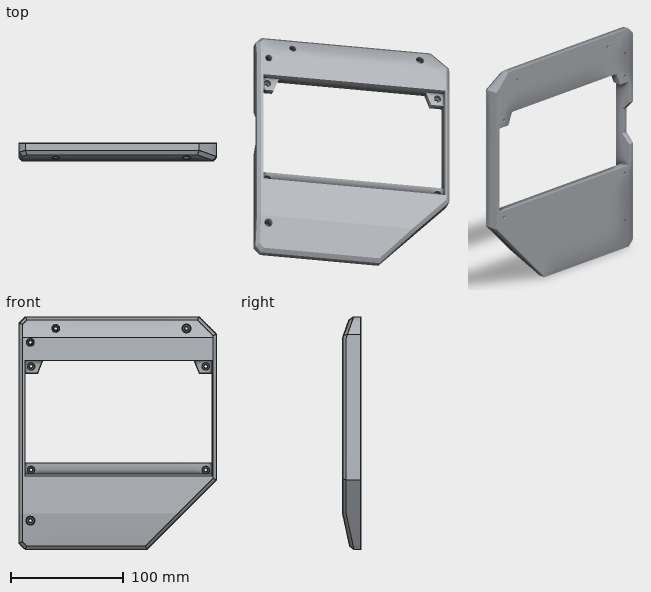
import cadquery as cq
import math

width = 175.0
depth = 16.0
height = 206.0

small_corner = 5.5
top_right_corner = 15.5
bottom_right_corner = 61.6

upper_fold_z = 187.7
lower_fold_z = 31.7
upper_lean = math.radians(19.6)
lower_lean = math.radians(12.1)

bevel = 3.0

window_left = 5.4
window_right = 170.8
window_bottom = 67.0
window_top = 167.3
rim_thickness = 0.8
rim_height = 2.0

ledge_thickness = 8.0
ledge_top = 76.7
tab_bottom = 156.0
tab_top_length = 15.7
tab_bottom_length = 11.1

notch_depth = 8.0
notch_bottom = 96.6
notch_top = 135.8

shoulder_thickness = 3.0
screw_hole = 3.0
ledge_bore = 6.5
small_bore = 6.0
large_bore = 7.0
bore_chamfer = 0.5
ledge_hole_inset = 5.4
lower_ledge_hole_z = 70.5
upper_ledge_hole_z = 162.2
left_hole_x = 10.0
top_hole_z = 195.7
frame_holes = [
    (32.5, top_hole_z, small_bore),
    (148.4, top_hole_z, large_bore),
    (left_hole_x, 183.4, small_bore),
    (left_hole_x, 25.5, large_bore),
]

outline = [
    (small_corner, 0),
    (width - bottom_right_corner, 0),
    (width, bottom_right_corner),
    (width, height - top_right_corner),
    (width - top_right_corner, height),
    (small_corner, height),
    (0, height - small_corner),
    (0, small_corner),
]


def prism(points, front, back):
    """Extrude an XZ outline from Y = front to Y = back."""
    flat = cq.Workplane("XZ", origin=(0, front, 0)).polyline(points).close()
    return flat.extrude(front - back)


def make_blank():
    """Outline prism with two front faces leaning back and a bevel around the front."""
    body = prism(outline, 0, depth)
    upper_rise = height - upper_fold_z
    upper_wedge = [
        (0, upper_fold_z),
        (0, height),
        (upper_rise * math.tan(upper_lean), height),
    ]
    lower_wedge = [
        (0, lower_fold_z),
        (0, 0),
        (lower_fold_z * math.tan(lower_lean), 0),
    ]
    for wedge in (upper_wedge, lower_wedge):
        body = body.cut(cq.Workplane("YZ").polyline(wedge).close().extrude(width))
    rim_edges = body.edges("not (|Y or >Y or (|X exc (>Z or <Z)))")
    return rim_edges.chamfer(bevel)


def box(x_range, y_range, z_range):
    size = [high - low for low, high in (x_range, y_range, z_range)]
    corner = (x_range[0], y_range[0], z_range[0])
    return cq.Workplane("XY").box(*size, centered=False).translate(corner)


def cut_window(body):
    """Open the window, undercut below its bottom edge to leave a thin front rim."""
    sides = (window_left, window_right)
    opening = box(sides, (0, depth), (window_bottom, window_top))
    undercut = box(sides, (rim_thickness, depth), (window_bottom - rim_height, window_top))
    return body.cut(opening).cut(undercut)


def add_mounts(body):
    """Bottom ledge and two top tabs, flush with the back."""
    front = depth - ledge_thickness
    sides = (window_left, window_right)
    body = body.union(box(sides, (front, depth), (window_bottom - rim_height, ledge_top)))
    for wall_x, inward in ((window_left, 1), (window_right, -1)):
        tab = [
            (wall_x, window_top),
            (wall_x + inward * tab_top_length, window_top),
            (wall_x + inward * tab_bottom_length, tab_bottom),
            (wall_x, tab_bottom),
        ]
        body = body.union(prism(tab, front, depth))
    return body


def cut_notch(body):
    floor_y = depth - notch_depth
    profile = [
        (depth, notch_bottom),
        (floor_y, notch_bottom + notch_depth),
        (floor_y, notch_top - notch_depth),
        (depth, notch_top),
    ]
    return body.cut(cq.Workplane("YZ").polyline(profile).close().extrude(window_left))


def cut_screw_hole(body, x, z, bore):
    front = cq.Workplane("XZ", origin=(x, 0, z))
    through = front.circle(screw_hole / 2).extrude(-depth)
    counterbore = front.circle(bore / 2).extrude(shoulder_thickness - depth)
    return body.cut(through).cut(counterbore)


def chamfer_bore(body, x, z, bore):
    """Break the edge where a bore meets the front, which may be a leaning face."""
    reach = bore / 2 + bore_chamfer
    around = cq.selectors.BoxSelector(
        (x - reach, -reach, z - reach),
        (x + reach, depth / 2, z + reach),
        boundingbox=True,
    )
    return body.edges(around).chamfer(bore_chamfer)


result = cut_notch(add_mounts(cut_window(make_blank())))
for x, z, bore in frame_holes:
    result = cut_screw_hole(result, x, z, bore)
    result = chamfer_bore(result, x, z, bore)
for x in (window_left + ledge_hole_inset, window_right - ledge_hole_inset):
    for z in (lower_ledge_hole_z, upper_ledge_hole_z):
        result = cut_screw_hole(result, x, z, ledge_bore)